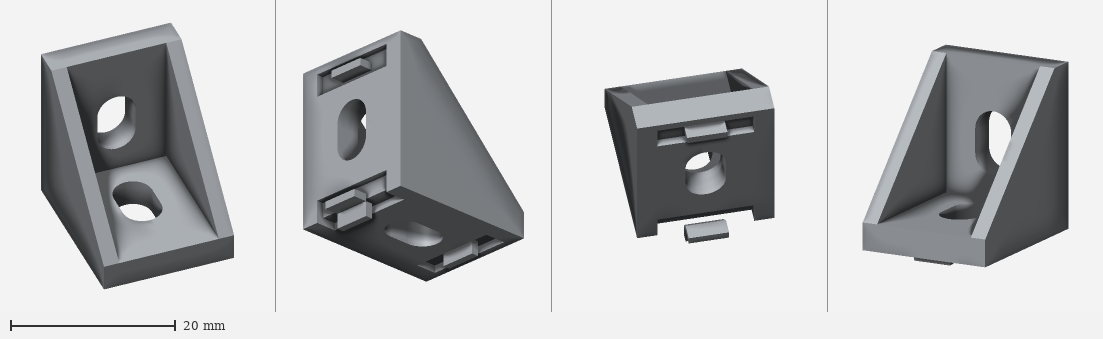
import cadquery as cq

overall_size = 23.0
key_length = 2.0
leg_length = overall_size - key_length
bracket_width = 17.0
flange_thickness = 3.5
side_wall = 2.0

slot_length = 8.0
slot_width = 5.0

recess_width = 12.0
recess_height = 3.0
recess_depth = 1.0
recess_end_margin = 1.0

tab_width = slot_width
tab_thickness = 1.0
tab_projection = 1.0


def centred_box(x_start, z_start, x_size, width, z_size):
    """Box with its low X and Z corner as given, centred on Y = 0."""
    return cq.Workplane("XY").box(x_size, width, z_size, centered=(False, True, False)).translate(
        (x_start, 0, z_start)
    )


def swap_legs(shape):
    """Turn a feature of the upright leg into the matching one of the base leg (X and Z swapped)."""
    return shape.rotate((0, 0, 0), (1, 0, 1), 180)


def make_gusset_block():
    """Two flanges with a triangular side wall on each side."""
    block = (
        cq.Workplane("XZ")
        .polyline(
            [
                (0, 0),
                (leg_length, 0),
                (leg_length, flange_thickness),
                (flange_thickness, leg_length),
                (0, leg_length),
            ]
        )
        .close()
        .extrude(bracket_width / 2, both=True)
    )
    pocket = centred_box(
        flange_thickness, flange_thickness, leg_length, bracket_width - 2 * side_wall, leg_length
    )
    return block.cut(pocket)


def make_slot():
    """Obround cutter through the upright flange, long along Z."""
    return (
        cq.Workplane("YZ")
        .center(0, leg_length / 2)
        .slot2D(slot_length, slot_width, 90)
        .extrude(flange_thickness)
    )


def make_bracket():
    end_recess_start = leg_length - recess_end_margin - recess_height
    end_recess = centred_box(0, end_recess_start, recess_depth, recess_width, recess_height)
    corner_recess = centred_box(0, 0, recess_depth, recess_width, recess_height)
    tab_start = end_recess_start + (recess_height - tab_thickness) / 2
    tab = centred_box(
        -tab_projection, tab_start, tab_projection + recess_depth, tab_width, tab_thickness
    )

    bracket = make_gusset_block()
    for cutter in (make_slot(), end_recess, corner_recess):
        bracket = bracket.cut(cutter).cut(swap_legs(cutter))
    return bracket.union(tab).union(swap_legs(tab))


def make_key():
    """Loose key lying outside the upright leg, meeting the corner line of the bracket."""
    return centred_box(-key_length, 0, key_length, tab_width, tab_thickness)


bracket = make_bracket()
keys = []
for is_base_key in (False, True):
    key = make_key()
    if is_base_key:
        key = swap_legs(key)
    keys.append(key.val())

result = cq.Compound.makeCompound([bracket.val(), *keys])